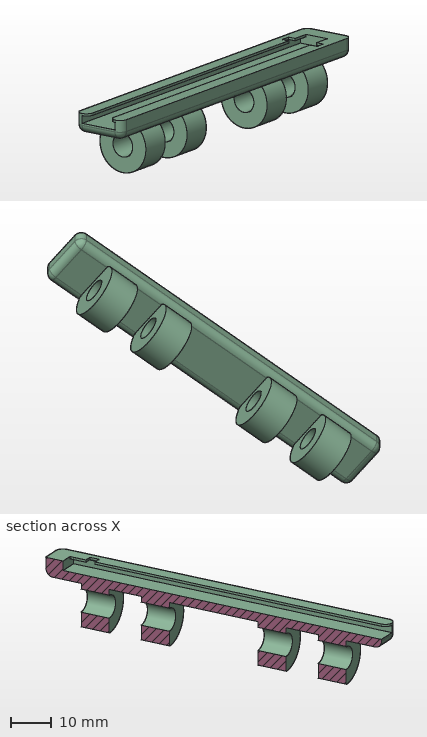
import cadquery as cq
import math

plate_width = 14.0
plate_length = 95.0
plate_thickness = 5.0
edge_radius = 2.0

channel_depth = plate_thickness / 2
channel_width = plate_width - 2 * edge_radius
channel_end_margin = 5.0
lip_thickness = 0.6
lip_opening = 6.5

notch_width = 10.5
notch_length = 2.5
notch_end_margin = 9.5

ring_diameter = plate_width
ring_bore = 6.0
ring_length = 8.0
ring_axis_depth = channel_depth + ring_diameter / 2
inner_ring_offset = 16.5
outer_ring_offset = 33.5

front_y = -plate_length / 2
back_y = plate_length / 2
channel_end_y = back_y - channel_end_margin
channel_length = channel_end_y - front_y
notch_end_y = back_y - notch_end_margin


def make_plate():
    """Bar with rounded vertical corners and a rounded bottom rim."""
    plate = cq.Workplane("XY").rect(plate_width, plate_length).extrude(-plate_thickness)
    plate = plate.edges("|Z").fillet(edge_radius)
    return plate.faces("<Z").edges().fillet(edge_radius)


def make_ring(center_y):
    """Ring with its axis along Y, centred lengthwise on center_y."""
    ring = cq.Workplane("XZ").circle(ring_diameter / 2).circle(ring_bore / 2)
    ring = ring.extrude(ring_length / 2, both=True)
    return ring.translate((0, center_y, -ring_axis_depth))


def make_pocket(width, length, end_y, top_depth, bottom_depth):
    """Box-shaped cutter between two depths, running from end_y toward -Y."""
    height = bottom_depth - top_depth
    center = (0, end_y - length / 2, -(top_depth + bottom_depth) / 2)
    return cq.Workplane("XY").box(width, length, height).translate(center)


def make_mouth_flare(side):
    """Cutter that rounds the inner corner of one lip at the open end."""
    edge_x = side * lip_opening / 2
    tip_x = edge_x + side * edge_radius
    arc_inset = edge_radius * (1 - math.cos(math.radians(45)))
    arc_middle = (edge_x + side * arc_inset, front_y + arc_inset)
    return (
        cq.Workplane("XY")
        .moveTo(edge_x, front_y)
        .lineTo(edge_x, front_y + edge_radius)
        .threePointArc(arc_middle, (tip_x, front_y))
        .close()
        .extrude(-lip_thickness)
    )


result = make_plate()

for ring_offset in (inner_ring_offset, outer_ring_offset):
    for direction in (-1, 1):
        result = result.union(make_ring(direction * ring_offset))

lip_slot = make_pocket(lip_opening, channel_length, channel_end_y, 0, lip_thickness)
undercut = make_pocket(channel_width, channel_length, channel_end_y, lip_thickness, channel_depth)
notch = make_pocket(notch_width, notch_length, notch_end_y, 0, lip_thickness)
result = result.cut(lip_slot).cut(undercut).cut(notch)

for side in (-1, 1):
    result = result.cut(make_mouth_flare(side))